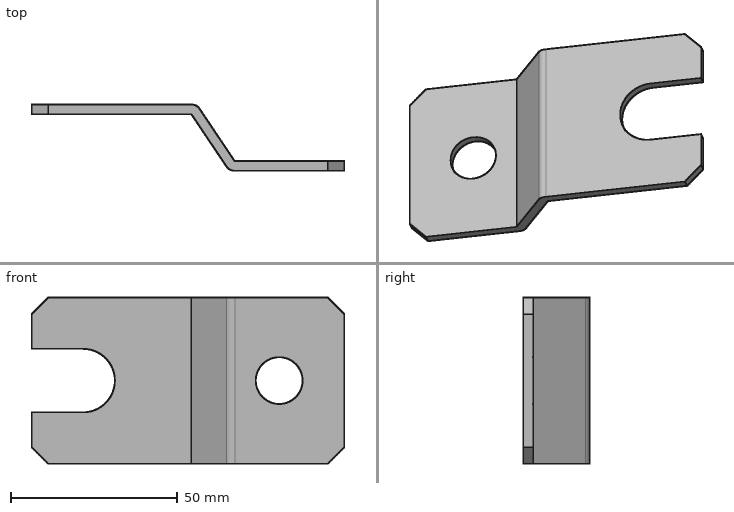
import cadquery as cq
import math

length = 94.0
offset_depth = 20.0
width = 50.0
thickness = 3.0
slotted_flat = 48.0
drilled_flat = 33.0
corner_chamfer = 5.0
slot_width = 19.0
slot_depth = 25.0
hole_diameter = 14.0
hole_from_end = 19.6

rear_corner = (slotted_flat, -thickness)
front_corner = (length - drilled_flat, thickness - offset_depth)

corner_dx = front_corner[0] - rear_corner[0]
corner_dy = rear_corner[1] - front_corner[1]
web_angle = math.atan2(corner_dy, corner_dx) + math.asin(thickness / math.hypot(corner_dx, corner_dy))


def outer_bend_point(corner, side, turn):
    """Point on the outer bend, `turn` radians round from the flat; side is +1 rear, -1 front."""
    return (
        corner[0] + side * thickness * math.sin(turn),
        corner[1] + side * thickness * math.cos(turn),
    )


def make_bent_strip():
    """Offset sheet profile in XY, extruded over the width and centred on Z = 0."""
    half_turn = web_angle / 2
    profile = (
        cq.Workplane("XY")
        .workplane(offset=-width / 2)
        .moveTo(0, -thickness)
        .lineTo(*rear_corner)
        .lineTo(*outer_bend_point(front_corner, -1, web_angle))
        .threePointArc(
            outer_bend_point(front_corner, -1, half_turn),
            outer_bend_point(front_corner, -1, 0),
        )
        .lineTo(length, -offset_depth)
        .lineTo(length, front_corner[1])
        .lineTo(*front_corner)
        .lineTo(*outer_bend_point(rear_corner, 1, web_angle))
        .threePointArc(
            outer_bend_point(rear_corner, 1, half_turn),
            outer_bend_point(rear_corner, 1, 0),
        )
        .lineTo(0, 0)
        .close()
    )
    return profile.extrude(width)


def chamfer_corners(body):
    """Cut the four outer corners of the plate."""
    return body.edges("|Y").chamfer(corner_chamfer)


def make_slot_cutter():
    """Open slot with a round end, entering from the left end."""
    radius = slot_width / 2
    straight = slot_depth - radius
    return (
        cq.Workplane("XZ")
        .moveTo(0, -radius)
        .lineTo(straight, -radius)
        .threePointArc((slot_depth, 0), (straight, radius))
        .lineTo(0, radius)
        .close()
        .extrude(offset_depth)
    )


def make_hole_cutter():
    """Round hole through the front flat."""
    return (
        cq.Workplane("XZ")
        .center(length - hole_from_end, 0)
        .circle(hole_diameter / 2)
        .extrude(offset_depth)
    )


plate = chamfer_corners(make_bent_strip())
result = plate.cut(make_slot_cutter()).cut(make_hole_cutter())